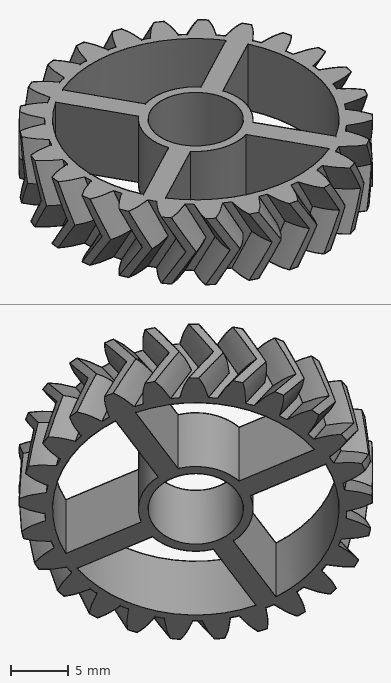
import cadquery as cq
import math

tooth_count = 25
normal_module = 1.0
normal_pressure_angle = math.radians(20)
helix_angle = math.radians(30)
dedendum_factor = 1.25

face_width = 7.0
bore_diameter = 8.3
hub_diameter = 10.0
rim_inner_diameter = 25.0
spoke_width = 2.0
spoke_count = 4
root_land = 0.8
involute_start_radius = 13.8
involute_points = 4
tip_trim = 0.15

pitch_radius = tooth_count * normal_module / math.cos(helix_angle) / 2
tip_radius = pitch_radius + normal_module
root_radius = pitch_radius - dedendum_factor * normal_module
pressure_angle = math.atan(math.tan(normal_pressure_angle) / math.cos(helix_angle))
base_radius = pitch_radius * math.cos(pressure_angle)

half_width = face_width / 2
twist_degrees = math.degrees(half_width * math.tan(helix_angle) / pitch_radius)
tooth_step = 2 * math.pi / tooth_count
first_tooth_angle = math.pi / 2


def polar(radius, angle):
    return (radius * math.cos(angle), radius * math.sin(angle))


def involute(angle):
    return math.tan(angle) - angle


def half_tooth_angle(radius):
    """Half the angle a tooth spans at a radius on its involute flank."""
    roll = math.acos(base_radius / radius)
    return tooth_step / 4 + involute(pressure_angle) - involute(roll)


def flank_profile():
    """Radius and half angle of each point on a flank, from the root out past the tip."""
    root_half_angle = tooth_step / 2 - root_land / 2 / root_radius
    profile = [(root_radius, root_half_angle)]
    radius_step = (tip_radius + tip_trim - involute_start_radius) / (involute_points - 1)
    for i in range(involute_points):
        radius = involute_start_radius + i * radius_step
        profile.append((radius, half_tooth_angle(radius)))
    return profile


def add_tooth(outline, center, profile):
    """Add one tooth and the root arc that follows it, counterclockwise."""
    rising = [polar(radius, center - half_angle) for radius, half_angle in profile]
    falling = [polar(radius, center + half_angle) for radius, half_angle in reversed(profile)]
    next_root = polar(root_radius, center + tooth_step - profile[0][1])
    return (
        outline.spline(rising[1:], includeCurrent=True)
        .lineTo(*falling[0])
        .spline(falling[1:], includeCurrent=True)
        .threePointArc(polar(root_radius, center + tooth_step / 2), next_root)
    )


def helical_half():
    """Lower half of the toothed body, turning counterclockwise as it rises."""
    profile = flank_profile()
    start = polar(root_radius, first_tooth_angle - profile[0][1])
    outline = cq.Workplane("XY").moveTo(*start)
    for i in range(tooth_count):
        outline = add_tooth(outline, first_tooth_angle + i * tooth_step, profile)
    return outline.close().twistExtrude(half_width, twist_degrees)


def web_openings():
    """The spaces between hub, rim and spokes."""
    openings = (
        cq.Workplane("XY")
        .circle(rim_inner_diameter / 2)
        .circle(hub_diameter / 2)
        .extrude(face_width)
    )
    for i in range(spoke_count):
        spoke = (
            cq.Workplane("XY")
            .center(rim_inner_diameter / 2, 0)
            .rect(rim_inner_diameter, spoke_width)
            .extrude(face_width)
            .rotate((0, 0, 0), (0, 0, 1), i * 360 / spoke_count)
        )
        openings = openings.cut(spoke)
    return openings


def disc(radius):
    return cq.Workplane("XY").circle(radius).extrude(face_width)


lower_half = helical_half()
upper_half = lower_half.mirror("XY", (0, 0, half_width))
toothed_body = lower_half.union(upper_half).intersect(disc(tip_radius))
result = toothed_body.cut(web_openings()).cut(disc(bore_diameter / 2))